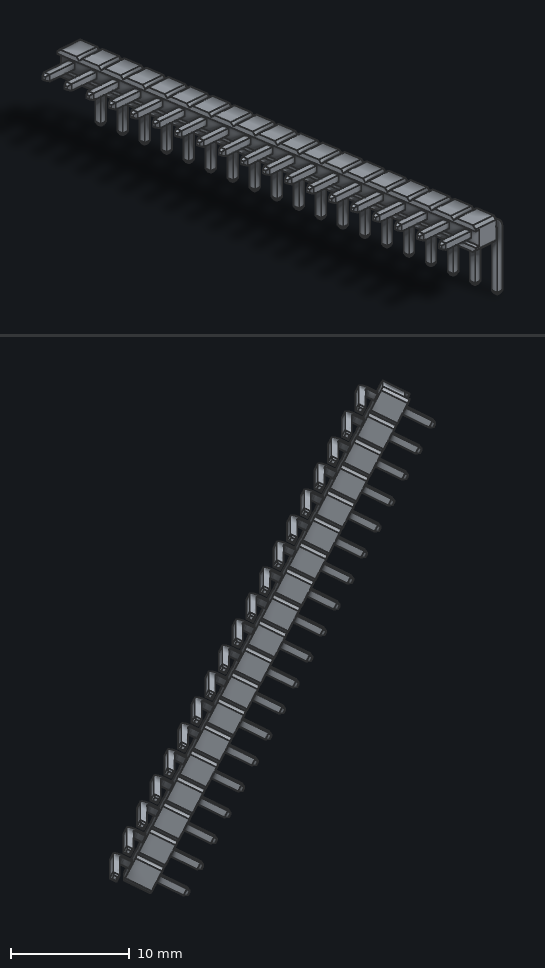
import cadquery as cq

pin_count = 19
pitch = 2.54
row_length = pin_count * pitch
total_depth = 7.33
total_height = 8.27

housing_depth = 2.54
housing_height = 2.54
corner_chamfer = 0.3
lip_height = 0.5
channel_depth = 0.46
channel_height = housing_height - 2 * lip_height

pin_width = 0.65
tip_width = 0.34
contact_tip_length = 0.35
tail_tip_length = 0.3
bend_inner_radius = 0.4
tail_reach = 1.8

half_pin = pin_width / 2
bend_outer_radius = bend_inner_radius + pin_width
housing_front = -housing_depth / 2
housing_back = housing_depth / 2
tail_rear = housing_back + tail_reach
tail_front = tail_rear - pin_width
tail_end = housing_height / 2 - total_height
contact_end = tail_rear - total_depth

shank_front = contact_end + contact_tip_length
shank_bottom = tail_end + tail_tip_length

pin_positions = [(i - (pin_count - 1) / 2) * pitch for i in range(pin_count)]


def make_housing_cell(x):
    """One chamfered housing block centred at x."""
    return (
        cq.Workplane("XY")
        .box(pitch, housing_depth, housing_height)
        .edges("|Y")
        .chamfer(corner_chamfer)
        .translate((x, 0, 0))
    )


def make_channel():
    """Slot that runs the full length of the housing's front face."""
    channel_y = housing_front + channel_depth / 2
    return (
        cq.Workplane("XY")
        .box(row_length, channel_depth, channel_height)
        .translate((0, channel_y, 0))
    )


def make_housing():
    """Row of joined blocks with the front channel removed."""
    housing = make_housing_cell(pin_positions[0])
    for x in pin_positions[1:]:
        housing = housing.union(make_housing_cell(x))
    return housing.cut(make_channel())


def make_tip(base, direction, length):
    """Tapered square pin end that grows from base along direction."""
    plane = cq.Plane(origin=base, xDir=(1, 0, 0), normal=direction)
    return (
        cq.Workplane(plane)
        .rect(pin_width, pin_width)
        .workplane(offset=length)
        .rect(tip_width, tip_width)
        .loft(ruled=True)
    )


def make_pin():
    """Bent square pin with two tapered ends, centred on x = 0."""
    shank = (
        cq.Workplane("YZ")
        .moveTo(shank_front, half_pin)
        .lineTo(tail_rear - bend_outer_radius, half_pin)
        .tangentArcPoint((bend_outer_radius, -bend_outer_radius))
        .lineTo(tail_rear, shank_bottom)
        .lineTo(tail_front, shank_bottom)
        .lineTo(tail_front, -half_pin - bend_inner_radius)
        .tangentArcPoint((-bend_inner_radius, bend_inner_radius))
        .lineTo(shank_front, -half_pin)
        .close()
        .extrude(half_pin, both=True)
    )
    contact_tip = make_tip((0, shank_front, 0), (0, -1, 0), contact_tip_length)
    tail_tip = make_tip((0, tail_rear - half_pin, shank_bottom), (0, 0, -1), tail_tip_length)
    return shank.union(contact_tip).union(tail_tip)


pin = make_pin()
result = make_housing()
for x in pin_positions:
    result = result.union(pin.translate((x, 0, 0)))